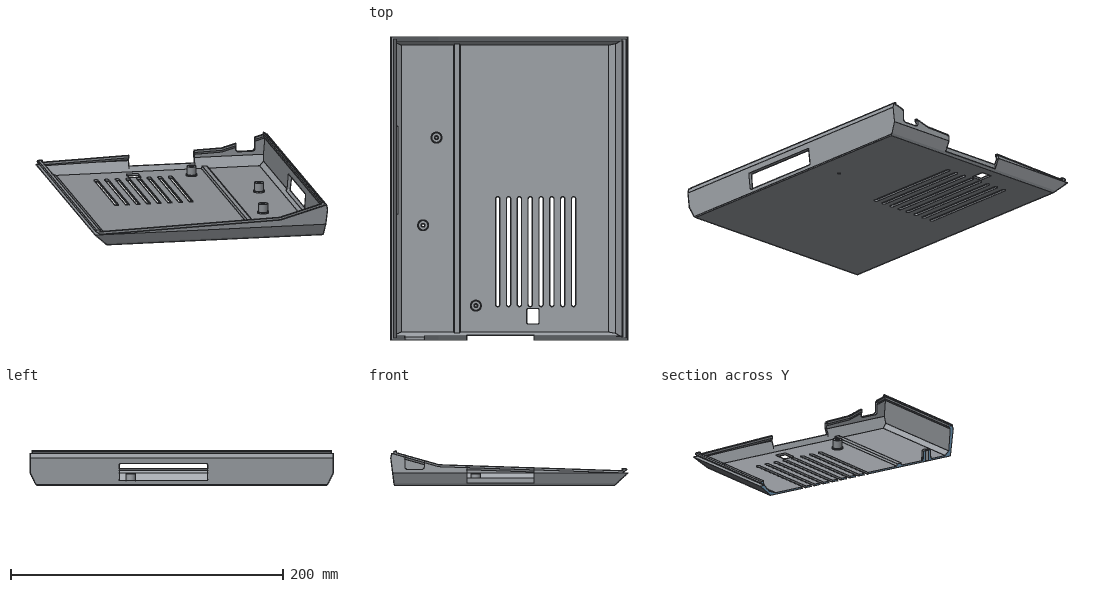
import cadquery as cq

length_x = 174.4
width_y = 223.0
half_y = width_y / 2
height_z = 25.6
clearance = 2.2
sky = height_z + clearance

floor_top = 1.5
side_wall = 2.2
side_bend_z = 9.1
bevel_z = 1.45
bevel_inset = 3.8
bottom_inset = 5.1
floor_edge_inset = 6.0

lip_height = 1.52
lip_inset = 1.45
lip_thickness = 1.5
lip_support_height = 1.5
kink_x = 35.5
rim_left = (0.78, 23.6)
rim_kink_z = 13.8
rim_right = (length_x, 9.1)
lip_kink_z = rim_kink_z + lip_height
lip_left_x = 2.5
lip_root_left_z = 23.2
inner_lip_left_x = 4.2
inner_lip_right_x = 170.4
lip_right_x = 170.5
lip_right_z = 11.0

left_foot_x = 3.0
left_bevel_x = 2.5
left_bevel_z = 1.0
left_bend = (0.0, 20.3)
right_foot_x = 164.5
right_lip_top = 12.5
left_lip_flare = [(2.2, 24.8), (3.8, height_z), (4.5, 24.0)]
right_lip_flare = [(170.0, right_lip_top), (173.0, right_lip_top), (173.7, 11.5), (172.4, 10.7)]
left_inner_face = [(7.8, floor_top), (4.5, 4.5), (3.1, 21.2), (inner_lip_left_x, 23.0)]
right_inner_face = [(170.8, lip_right_z), (170.1, side_bend_z), (165.5, 3.5), (160.3, floor_top)]

rib_x = 48.8
rib_base = 5.1
rib_top = 3.5
rib_height = 1.5
rib_overlap = 1.0

boss_points = [(33.7, 37.5), (23.9, -27.0), (62.7, -86.0)]
through_boss = boss_points[1]
boss_diameter = 7.0
boss_top = 8.5
collar_diameter = 8.0
collar_height = 1.0
boss_hole = 2.15
boss_hole_mouth = 3.0

slot_count = 8
slot_span_x = (78.7, 134.5)
slot_pitch = (slot_span_x[1] - slot_span_x[0]) / (slot_count - 1)
slot_width = 3.0
slot_y = (-86.7, -6.0)
port_x = (100.1, 109.0)
port_y = (-99.5, -88.3)
port_radius = 0.7

opening_x = (56.0, 105.3)
opening_inset = 4.0
opening_bottom = 2.0
notch_x = (10.5, 24.8)
notch_bottom = 11.8
notch_radius = 2.0
window_y = (-19.0, 46.0)
window_z = (3.5, 16.0)
window_radius = 1.0
window_depth = 13.4


def box(x, y, z):
    """Axis-aligned box from its (low, high) limits."""
    size = [limits[1] - limits[0] for limits in (x, y, z)]
    return cq.Workplane("XY").box(*size, centered=False).translate((x[0], y[0], z[0]))


def along_y(points, half_width):
    """Extrude an (x, z) outline symmetrically along Y."""
    return cq.Workplane("XZ").polyline(points).close().extrude(half_width, both=True)


def along_x(half_points):
    """Extrude a (y, z) outline, mirrored about y = 0, over the full length."""
    mirrored = [(-y, z) for y, z in reversed(half_points)]
    return cq.Workplane("YZ").polyline(half_points + mirrored).close().extrude(length_x)


def rim_body():
    lengthwise = along_y(
        [
            (left_foot_x, 0),
            (left_bevel_x, left_bevel_z),
            left_bend,
            rim_left,
            (kink_x, rim_kink_z),
            rim_right,
            (right_foot_x, 0),
        ],
        half_y,
    )
    crosswise = along_x(
        [
            (half_y - bottom_inset, 0),
            (half_y - bevel_inset, bevel_z),
            (half_y, side_bend_z),
            (half_y, sky),
        ]
    )
    return lengthwise.intersect(crosswise)


def lip_body():
    """Inset upper lip; its ends flare up over the two end walls."""
    return along_y(
        [
            (lip_left_x, side_bend_z),
            (lip_left_x, lip_root_left_z),
            *left_lip_flare,
            (kink_x, lip_kink_z),
            (lip_right_x, lip_right_z),
            *right_lip_flare,
            (lip_right_x, side_bend_z),
        ],
        half_y - lip_inset,
    )


def cavity_length():
    """Lengthwise inner outline, open to the top, over the full width."""
    return along_y(
        [
            *left_inner_face,
            (inner_lip_left_x, sky),
            (inner_lip_right_x, sky),
            *right_inner_face,
        ],
        half_y,
    )


def overhang_section(x, rim_z, side):
    """Section at x through the overhang of one lip, continued straight up past the lip."""
    wall_face = side * (half_y - side_wall)
    lip_face = side * (half_y - lip_inset - lip_thickness)
    outline = [
        (wall_face, rim_z - lip_support_height),
        (lip_face, rim_z),
        (lip_face, sky),
        (wall_face, sky),
    ]
    return cq.Wire.makePolygon([cq.Vector(x, y, z) for y, z in outline], close=True)


def lip_overhang(side):
    """Region inside one side wall that its lip reaches into, following the sloped edge."""
    stations = [rim_left, (kink_x, rim_kink_z), rim_right]
    sections = [overhang_section(x, z, side) for x, z in stations]
    return cq.Workplane(cq.Solid.makeLoft(sections, True))


def cavity():
    crosswise = along_x(
        [
            (half_y - floor_edge_inset, floor_top),
            (half_y - side_wall, side_bend_z),
            (half_y - side_wall, sky),
        ]
    )
    inside = cavity_length().intersect(crosswise)
    return inside.cut(lip_overhang(1)).cut(lip_overhang(-1))


def rib():
    rib_root = floor_top / 2
    outline = [
        (rib_x - rib_base / 2, rib_root),
        (rib_x - rib_base / 2, floor_top),
        (rib_x - rib_top / 2, floor_top + rib_height),
        (rib_x + rib_top / 2, floor_top + rib_height),
        (rib_x + rib_base / 2, floor_top),
        (rib_x + rib_base / 2, rib_root),
    ]
    return along_y(outline, half_y - floor_edge_inset + rib_overlap)


def bosses():
    floor = cq.Workplane("XY").workplane(offset=floor_top / 2).pushPoints(boss_points)
    posts = floor.circle(boss_diameter / 2).extrude(boss_top - floor_top / 2)
    collars = floor.circle(collar_diameter / 2).extrude(floor_top / 2 + collar_height)
    return posts.union(collars)


def boss_holes():
    """Blind screw holes with a countersunk mouth; one of them runs through the floor."""
    mouth_depth = (boss_hole_mouth - boss_hole) / 2
    top = cq.Workplane("XY").workplane(offset=boss_top)
    holes = top.pushPoints(boss_points).circle(boss_hole / 2).extrude(floor_top - boss_top)
    for x, y in boss_points:
        mouth = cq.Solid.makeCone(
            boss_hole / 2, boss_hole_mouth / 2, mouth_depth, pnt=cq.Vector(x, y, boss_top - mouth_depth)
        )
        holes = holes.union(cq.Workplane(mouth))
    through = top.center(*through_boss).circle(boss_hole / 2).extrude(-boss_top)
    return holes.union(through)


def vent_slots():
    slot_length = slot_y[1] - slot_y[0]
    centres = [(slot_span_x[0] + i * slot_pitch, sum(slot_y) / 2) for i in range(slot_count)]
    return cq.Workplane("XY").pushPoints(centres).slot2D(slot_length, slot_width, 90).extrude(2 * floor_top)


def floor_port():
    return box(port_x, port_y, (-clearance, 2 * floor_top)).edges("|Z").fillet(port_radius)


def side_opening():
    """Vertical-faced gap in the -Y wall; only the root of the wall is left behind it."""
    return box(opening_x, (-half_y - clearance, -half_y + opening_inset), (opening_bottom, sky))


def side_notch():
    notch = box(notch_x, (-half_y - clearance, -half_y + 2 * side_wall), (notch_bottom, sky))
    return notch.edges("|Y").fillet(notch_radius)


def end_window():
    return box((-clearance, window_depth), window_y, window_z).edges("|X").fillet(window_radius)


result = (
    rim_body()
    .union(lip_body())
    .cut(cavity())
    .union(rib())
    .union(bosses())
    .cut(boss_holes())
    .cut(vent_slots())
    .cut(floor_port())
    .cut(side_opening())
    .cut(side_notch())
    .cut(end_window())
)